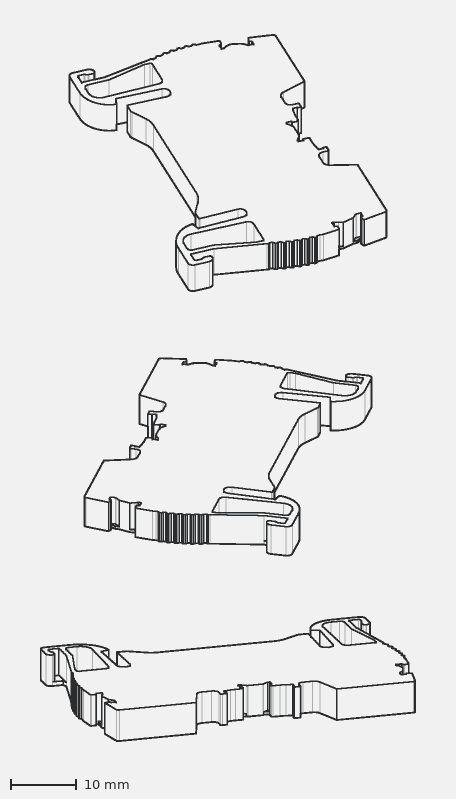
import cadquery as cq
import math


half_length = 26.0
width = 33.0
thickness = 5.0
edge_radius = 0.15

belly_y = 7.55
foot_y = 5.55
foot_inner_x = 13.7
foot_radius = 0.6
foot_ramp_x = 10.25
foot_ramp_radius = 3.75

slot_inner_x = 15.15
slot_foot_x = 15.3
slot_outer_x = 17.2
slot_mouth_x = 17.45
slot_top_y = 12.95
slot_radius = 1.0
claw_x = 16.1
claw_y = 4.2
claw_step_y = 4.6
claw_toe_x = 16.75
claw_radius = 4.85
leg_x = 23.15
leg_bend_y = 4.95
hook_x = 25.9
hook_top_y = 4.0
hook_floor_y = 1.2
hook_radius = 0.85
hook_tip_x = 24.6
hook_tip_radius = 0.35
hook_barb_y = 2.8
hook_throat_x = 24.9
hook_throat_y = 2.3
hook_inner_radius = 0.25
hook_web = 0.7
hook_web_top_y = 4.85
hook_web_bend_x = 23.35

window_top_y = 12.9
window_bottom_y = 1.2
window_inner_top_x = 18.6
window_inner_bottom_x = 18.4
window_bend_x = 22.25
window_bend_y = 5.3
window_outer_x = 23.9
window_outer_y = 11.7
window_toe_radius = 1.8
window_inner_radius = 0.9
window_outer_radius = 0.3
window_heel_radius = 0.7

tooth_count = 7
first_tooth_y = 20.5
last_tooth_y = 13.1
tooth_pitch = (first_tooth_y - last_tooth_y) / (tooth_count - 1)
tooth_height = 0.25
tooth_tip = 0.25
tooth_root = 0.4
grip_radius = 20.8
grip_center_y = 19.85
top_tip_rise = first_tooth_y - tooth_tip / 2 - grip_center_y
grip_center_x = half_length - math.sqrt(grip_radius**2 - top_tip_rise**2)

shoulder_x = 25.45
shoulder_inner_x = 24.55
shoulder_y = 24.6
shoulder_foot_x = 25.75
shoulder_foot_y = 21.85
lower_notch_y = 24.15
lower_notch_inner_x = 23.45
lower_notch_outer_x = 24.4
lower_notch_side_y = 24.55
lower_notch_bend_x = 23.75
lower_notch_bend_y = 25.05
recess_x = 24.0
recess_bottom_y = 25.8
recess_top_x = 23.5
recess_top_y = 27.55
upper_notch_y = 29.1
upper_notch_inner_x = 22.8
upper_notch_outer_x = 23.55
upper_notch_side_y = 28.3
upper_notch_radius = 0.2
upper_web_x = 23.2
upper_web_y = 28.8
upper_web_bend_y = 28.2
lip_x = 24.55
lip_y = 28.95
lip_bottom_y = 28.75
lip_inner_x = 23.7
lip_outer_x = 24.1
head_x = 23.8
head_radius = 0.4
notch_web = 0.45

head_inner_x = 11.25
valley_y = 28.3
valley_outer_x = 9.55
valley_radius = 1.05
post_x = 6.4
post_inner_x = 5.35
post_neck_x = 5.5
post_top_y = 30.2
post_barb_y = 29.6
post_radius = 0.2
post_foot_radius = 0.9
shelf_y = 28.6
shelf_bend_x = 4.0
shelf_neck_y = 28.85
shelf_radius = 5.2

seat_mouth_x = 2.25
seat_x = 2.55
seat_ceiling_y = 27.55
seat_y = 27.35
seat_flat_x = 1.25
seat_low_y = 26.7
seat_low_x = 2.2
seat_radius = 0.25
seat_web_y = 27.25


def rounded_outline(corners):
    """Closed wire through the corners; each corner with a radius becomes a tangent arc."""
    tolerance = 5.2e-07
    stops = []
    for i, (x, y, radius) in enumerate(corners):
        here = cq.Vector(x, y)
        if radius == 0:
            stops.append((here, here, here))
            continue
        before = cq.Vector(*corners[i - 1][:2])
        after = cq.Vector(*corners[(i + 1) % len(corners)][:2])
        to_before = (before - here).normalized()
        to_after = (after - here).normalized()
        half_angle = to_before.getAngle(to_after) / 2
        setback = radius / math.tan(half_angle)
        bisector = (to_before + to_after).normalized()
        middle = here + bisector * (radius / math.sin(half_angle) - radius)
        stops.append((here + to_before * setback, middle, here + to_after * setback))
    edges = []
    for i, (start, middle, end) in enumerate(stops):
        previous_end = stops[i - 1][2]
        if (start - previous_end).Length > tolerance:
            edges.append(cq.Edge.makeLine(previous_end, start))
        if (end - start).Length > tolerance:
            edges.append(cq.Edge.makeThreePointArc(start, middle, end))
    return cq.Wire.assembleEdges(edges)


def plate(corners, height):
    """Solid of the given height standing on the XY plane."""
    rise = cq.Vector(0, 0, height)
    return cq.Workplane(obj=cq.Solid.extrudeLinear(rounded_outline(corners), [], rise))


def foot_and_slot():
    """From the middle of the underside, over the foot and around the slot."""
    return [
        (0, belly_y, 0),
        (foot_ramp_x, belly_y, foot_ramp_radius),
        (foot_inner_x, foot_y, foot_radius),
        (slot_foot_x, foot_y, edge_radius),
        (slot_inner_x, slot_top_y, slot_radius),
        (slot_outer_x, slot_top_y, slot_radius),
        (slot_mouth_x, claw_step_y, 0),
    ]


def hook_and_leg():
    """Around the claw and the hook, then up the outside of the leg."""
    return [
        (claw_x, claw_y, 0),
        (claw_toe_x, 0, claw_radius),
        (hook_x, 0, hook_radius),
        (hook_x, hook_top_y, hook_radius),
        (hook_tip_x, hook_top_y, hook_tip_radius),
        (hook_tip_x, hook_barb_y, hook_inner_radius),
        (hook_throat_x, hook_throat_y, hook_inner_radius),
        (hook_throat_x, hook_floor_y, hook_inner_radius),
        (leg_x, hook_floor_y, 0),
        (leg_x, leg_bend_y, 0),
    ]


def grip_point(y, radius):
    """Sharp corner at the given Y on a grip arc of the given radius."""
    return (grip_center_x + math.sqrt(radius**2 - (y - grip_center_y) ** 2), y, 0)


def grip_teeth():
    """Teeth from the lowest to the highest, their tips and roots on concentric arcs."""
    corners = []
    root_radius = grip_radius - tooth_height
    for i in reversed(range(tooth_count)):
        tip_y = first_tooth_y - i * tooth_pitch
        root_y = tip_y + tooth_pitch / 2
        corners.append(grip_point(tip_y - tooth_tip / 2, grip_radius))
        corners.append(grip_point(tip_y + tooth_tip / 2, grip_radius))
        corners.append(grip_point(root_y - tooth_root / 2, root_radius))
        corners.append(grip_point(root_y + tooth_root / 2, root_radius))
    return corners


def marker_recess():
    """Up the end face, through both notches of the recess and onto the head."""
    return [
        (shoulder_foot_x, shoulder_foot_y, 0),
        (shoulder_x, shoulder_y, edge_radius),
        (shoulder_inner_x, shoulder_y, edge_radius),
        (lower_notch_outer_x, lower_notch_y, 0),
        (lower_notch_inner_x, lower_notch_y, 0),
        (lower_notch_inner_x, lower_notch_side_y, 0),
        (lower_notch_bend_x, lower_notch_bend_y, 0),
        (recess_x, recess_bottom_y, 0),
        (recess_top_x, recess_top_y, 0),
        (upper_notch_inner_x, upper_notch_side_y, upper_notch_radius),
        (upper_notch_inner_x, upper_notch_y, 0),
        (upper_notch_outer_x, upper_notch_y, 0),
        (lip_inner_x, lip_bottom_y, 0),
        (lip_outer_x, lip_bottom_y, 0),
        (lip_x, lip_y, 0),
    ]


def head_and_valley():
    """Over the head, down into the valley and around the latch post to the seat."""
    return [
        (head_x, width, head_radius),
        (head_inner_x, width, 0),
        (valley_outer_x, valley_y, valley_radius),
        (post_x, valley_y, post_foot_radius),
        (post_x, post_top_y, post_radius),
        (post_inner_x, post_top_y, 0),
        (post_inner_x, post_barb_y, 0),
        (post_neck_x, post_barb_y, 0),
        (post_neck_x, shelf_neck_y, 0),
        (shelf_bend_x, shelf_y, shelf_radius),
        (seat_mouth_x, shelf_y, edge_radius),
        (seat_mouth_x, seat_ceiling_y, 0),
        (seat_x, seat_ceiling_y, 0),
        (seat_x, seat_low_y, 0),
        (seat_low_x, seat_low_y, 0),
        (seat_flat_x, seat_y, seat_radius),
        (0, seat_y, 0),
    ]


def leg_window():
    return [
        (window_inner_bottom_x, window_bottom_y, window_toe_radius),
        (window_inner_top_x, window_top_y, window_inner_radius),
        (window_outer_x, window_top_y, window_outer_radius),
        (window_outer_x, window_outer_y, 0),
        (window_bend_x, window_bend_y, 0),
        (window_bend_x, window_bottom_y, window_heel_radius),
    ]


def thin_webs():
    """Low webs on the underside that close the bottoms of the hook, the notches and the seat."""
    hook = [
        (leg_x, hook_floor_y, 0),
        (leg_x, hook_web_top_y, 0),
        (hook_web_bend_x, hook_top_y, 0),
        (hook_x - hook_radius, hook_top_y, 0),
        (hook_x - hook_radius, hook_floor_y, 0),
    ]
    lower_notch = [
        (lower_notch_inner_x, lower_notch_y, 0),
        (recess_x, lower_notch_y, 0),
        (recess_x, recess_bottom_y, 0),
        (lower_notch_inner_x, recess_bottom_y, 0),
    ]
    upper_notch = [
        (upper_notch_inner_x, recess_top_y, 0),
        (recess_top_x, recess_top_y, 0),
        (recess_top_x, upper_web_bend_y, 0),
        (upper_web_x, upper_web_y, 0),
        (upper_web_x, upper_notch_y, 0),
        (upper_notch_inner_x, upper_notch_y, 0),
    ]
    seat = [
        (seat_flat_x, seat_low_y, 0),
        (seat_x, seat_low_y, 0),
        (seat_x, seat_web_y, 0),
        (seat_flat_x, seat_web_y, 0),
    ]
    notches = [plate(corners, notch_web) for corners in (lower_notch, upper_notch, seat)]
    return [plate(hook, hook_web)] + notches


outline = foot_and_slot() + hook_and_leg() + grip_teeth() + marker_recess() + head_and_valley()
half = plate(outline, thickness).cut(plate(leg_window(), thickness))
for web in thin_webs():
    half = half.union(web)

result = half.union(half.mirror("YZ")).clean()